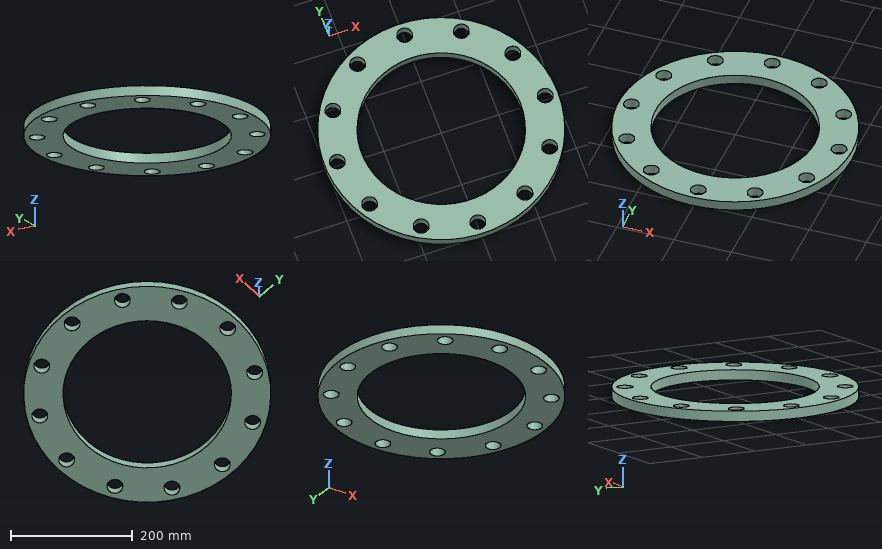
import cadquery as cq

outer_diameter = 406.3
bore_diameter = 276.3
thickness = 17.5

bolt_circle_diameter = 362.0
bolt_hole_diameter = 25.5
bolt_hole_count = 12

ring = (
    cq.Workplane("XY")
    .circle(outer_diameter / 2)
    .circle(bore_diameter / 2)
    .extrude(thickness)
)

bolt_holes = (
    cq.Workplane("XY")
    .polarArray(bolt_circle_diameter / 2, 0, 360, bolt_hole_count)
    .circle(bolt_hole_diameter / 2)
    .extrude(thickness)
)

result = ring.cut(bolt_holes)